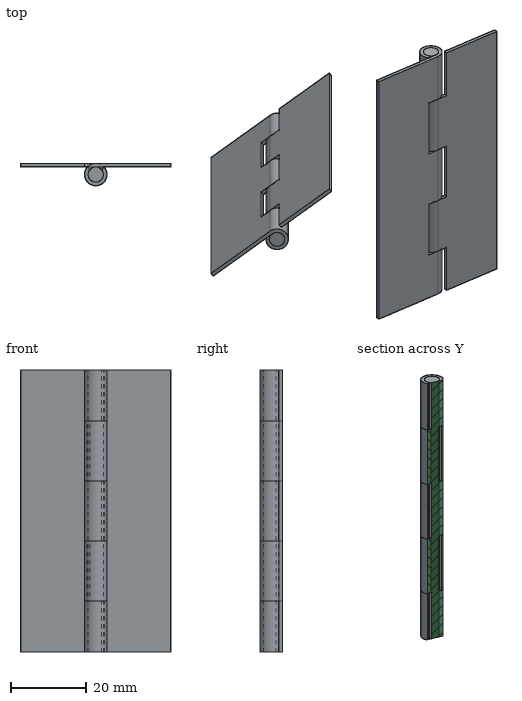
import cadquery as cq
import math

hinge_height = 75.0
hinge_width = 40.0
knuckle_radius = 3.0
sheet_thickness = 1.0
inner_knuckle_height = 16.0
inner_knuckle_count = 3
curl_end_angle = 41.0

half_width = hinge_width / 2
pin_radius = knuckle_radius - sheet_thickness
end_knuckle_height = (hinge_height - inner_knuckle_count * inner_knuckle_height) / 2
knuckle_heights = [end_knuckle_height] + [inner_knuckle_height] * inner_knuckle_count + [end_knuckle_height]
knuckle_bottoms = [sum(knuckle_heights[:i]) - hinge_height / 2 for i in range(len(knuckle_heights))]


def polar_point(radius, degrees):
    angle = math.radians(degrees)
    return (radius * math.cos(angle), radius * math.sin(angle))


def leaf_plate():
    """Flat sheet on the +X side, ending level with the side of the barrel."""
    return cq.Workplane("XY").box(
        half_width - knuckle_radius, sheet_thickness, hinge_height, centered=(False, False, True)
    ).translate((knuckle_radius, pin_radius, 0))


def rolled_knuckle(bottom, height):
    """Strip of the +X sheet that runs over the pin and curls around it."""
    mid_angle = (90 + 360 + curl_end_angle) / 2
    return (
        cq.Workplane("XY", origin=(0, 0, bottom))
        .moveTo(knuckle_radius, knuckle_radius)
        .lineTo(0, knuckle_radius)
        .threePointArc(polar_point(knuckle_radius, mid_angle), polar_point(knuckle_radius, curl_end_angle))
        .lineTo(*polar_point(pin_radius, curl_end_angle))
        .threePointArc(polar_point(pin_radius, mid_angle), (0, pin_radius))
        .lineTo(knuckle_radius, pin_radius)
        .close()
        .extrude(height)
    )


def make_leaf(first_knuckle):
    """Leaf on the +X side that owns every second knuckle, counted from the bottom."""
    leaf = leaf_plate()
    for bottom, height in list(zip(knuckle_bottoms, knuckle_heights))[first_knuckle::2]:
        leaf = leaf.union(rolled_knuckle(bottom, height))
    return leaf


def make_pin():
    """Plain pin filling the full length of the barrel."""
    return cq.Workplane("XY").circle(pin_radius).extrude(hinge_height / 2, both=True)


right_leaf = make_leaf(first_knuckle=0)
left_leaf = make_leaf(first_knuckle=1).mirror("YZ")
pin = make_pin()

result = cq.Compound.makeCompound([right_leaf.solids().val(), left_leaf.solids().val(), pin.val()])